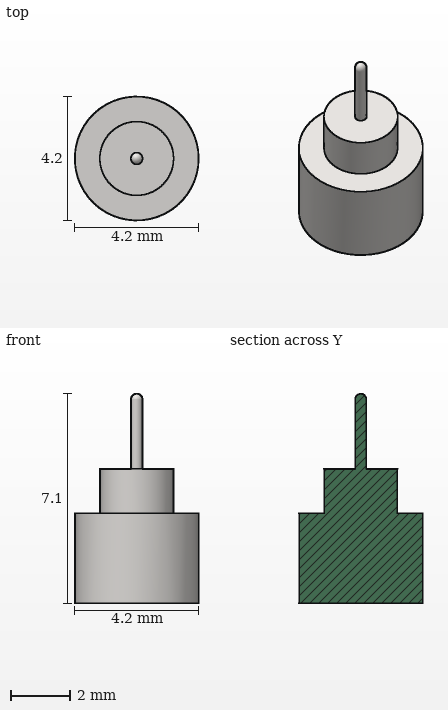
import cadquery as cq

total_height = 7.1
body_diameter = 4.2
body_height = 3.05
collar_diameter = 2.5
collar_height = 1.5
insert_diameter = 1.96
pin_diameter = 0.4
tip_height = 0.185

collar_top = body_height + collar_height
pin_radius = pin_diameter / 2
pin_shoulder = total_height - tip_height


def make_cylinder(diameter, height, base):
    """Upright cylinder on the Z axis, starting at height base."""
    return cq.Workplane("XY").workplane(offset=base).circle(diameter / 2).extrude(height)


def make_pin():
    """Centre pin standing on the collar, ending in a domed tip."""
    shaft = make_cylinder(pin_diameter, pin_shoulder - collar_top, collar_top)
    dome_radius = (pin_radius**2 + tip_height**2) / (2 * tip_height)
    dome_center = total_height - dome_radius
    dome = (
        cq.Workplane("XY")
        .sphere(dome_radius)
        .translate((0, 0, dome_center))
        .intersect(make_cylinder(body_diameter, tip_height, pin_shoulder))
    )
    return shaft.union(dome)


body = make_cylinder(body_diameter, body_height, 0)

insert = make_cylinder(insert_diameter, collar_height, body_height)
collar = make_cylinder(collar_diameter, collar_height, body_height).cut(insert)

result = body.union(collar).union(insert, clean=False).union(make_pin(), clean=False)